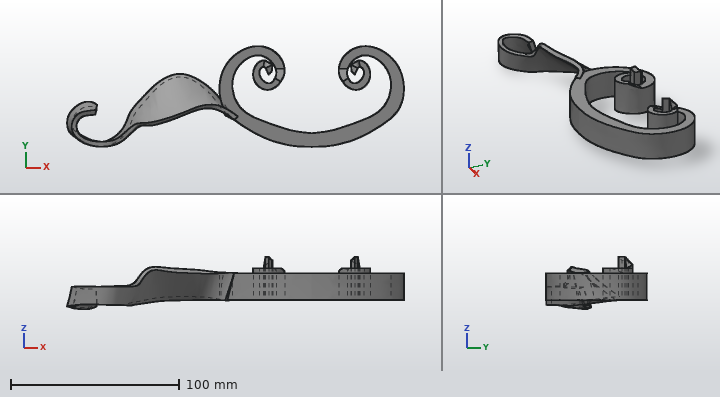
import cadquery as cq

frame_height = 16.0
coil_height = 19.0
hook_height = 25.9

frame_outer = [
    (0, 0), (24.7, 4.0), (41.0, 12.6), (51.7, 22.2), (55.0, 35.3), (49.7, 50.5),
    (29.9, 60.0), (19.6, 54.5), (16.0, 46.1), (18.5, 38.9),
]
frame_inner = [
    (0, 8.2), (13.5, 10.2), (25.7, 14.2), (42.7, 23.9), (47.1, 35.3), (42.7, 49.0),
    (29.9, 54.3), (22.7, 49.0), (21.0, 44.5), (21.8, 40.9),
]

coil_outer = [
    frame_outer[-1], (21.8, 35.3), (26.3, 33.9), (31.7, 36.0), (34.9, 42.5), (32.5, 49.5), (28.0, 51.7),
]
coil_inner = [frame_inner[-1], (26.0, 37.9), (31.0, 43.5), (28.7, 48.0)]

ramp_x = (14.0, 23.7)
ramp_start_y = 46.5
ramp_end_y = 38.9
ramp_level_run = 2.0

hook_sections = [
    ((28.0, 51.7, 20.8), (28.7, 48.0, coil_height)),
    ((23.3, 49.0, 23.7), (27.5, 47.0, hook_height)),
    ((23.7, 45.0, 23.7), (25.7, 43.0, hook_height)),
]

tail_thickness = 3.0
tail_sections = [
    ((-128.5, 20.6, 7.5), (-127.7, 23.7, -3.2)),
    ((-133.5, 20.0, 7.5), (-133.5, 25.7, -4.8)),
    ((-137.5, 18.8, 7.5), (-139.5, 22.9, -4.8)),
    ((-141.0, 14.2, 7.6), (-144.0, 15.8, -4.2)),
    ((-140.7, 9.6, 7.8), (-142.7, 9.6, -3.6)),
    ((-138.7, 6.5, 8.0), (-138.7, 6.5, -2.8)),
    ((-125.0, 1.6, 8.0), (-125.0, 1.6, -2.8)),
    ((-114.9, 3.8, 8.2), (-116.3, 5.0, -2.8)),
    ((-107.6, 9.8, 8.5), (-110.8, 10.8, -2.8)),
    ((-104.0, 12.6, 9.8), (-109.0, 14.5, -2.8)),
    ((-101.5, 13.5, 13.5), (-107.6, 18.2, -2.5)),
    ((-96.2, 13.6, 18.2), (-100.5, 27.9, -1.2)),
    ((-86.8, 15.8, 18.2), (-91.2, 37.3, 0.5)),
    ((-76.8, 19.5, 17.5), (-78.2, 42.7, 1.0)),
    ((-66.0, 23.5, 16.8), (-66.1, 38.0, 1.0)),
    ((-58.0, 23.9, 16.2), (-58.3, 31.3, 0.6)),
    ((-50.7, 21.0, 16.2), (-53.3, 24.9, 0.0)),
    ((-45.0, 17.0, 16.2), (-50.3, 19.8, -0.2)),
]


def strip(outer, inner, height):
    """Flat strip between two smooth curves, standing on Z = 0."""
    return (
        cq.Workplane("XY")
        .moveTo(*outer[0])
        .spline(outer[1:], includeCurrent=True)
        .lineTo(*inner[-1])
        .spline(inner[-2::-1], includeCurrent=True)
        .close()
        .extrude(height)
    )


def ramp():
    """Sloping length of the scroll, cut from a taller copy of its strip."""
    profile = [
        (ramp_start_y, 0),
        (ramp_start_y, frame_height),
        (ramp_end_y, coil_height),
        (ramp_end_y - ramp_level_run, coil_height),
        (ramp_end_y - ramp_level_run, 0),
    ]
    wedge = (
        cq.Workplane("YZ", origin=(ramp_x[0], 0, 0))
        .polyline(profile)
        .close()
        .extrude(ramp_x[1] - ramp_x[0])
    )
    return strip(frame_outer, frame_inner, coil_height).intersect(wedge)


def hook():
    """Flat-sided tip that closes the coil and rises above it."""
    sections = []
    for outer, inner in hook_sections:
        corners = [outer, inner, (inner[0], inner[1], 0), (outer[0], outer[1], 0)]
        vectors = [cq.Vector(*corner) for corner in corners]
        sections.append(cq.Wire.makePolygon(vectors, close=True))
    return cq.Workplane(cq.Solid.makeLoft(sections, ruled=True))


def frame_half():
    """Right half of the frame with its raised coil."""
    half = strip(frame_outer, frame_inner, frame_height)
    coil = strip(coil_outer, coil_inner, coil_height)
    return half.union(ramp()).union(coil).union(hook())


def tail():
    """Twisting ribbon whose thickness is set square to its run and its height."""
    tops = [cq.Vector(*top) for top, bottom in tail_sections]
    bottoms = [cq.Vector(*bottom) for top, bottom in tail_sections]
    middles = [(top + bottom) / 2 for top, bottom in zip(tops, bottoms)]
    last = len(middles) - 1
    sections = []
    for i, (top, bottom) in enumerate(zip(tops, bottoms)):
        run = middles[min(i + 1, last)] - middles[max(i - 1, 0)]
        side = run.cross(top - bottom).normalized() * (tail_thickness / 2)
        sections.append([top + side, top - side, bottom - side, bottom + side])
    edges = [cq.Edge.makeSpline(list(corner_path)) for corner_path in zip(*sections)]
    neighbours = edges[1:] + edges[:1]
    sides = [cq.Face.makeRuledSurface(edge, other) for edge, other in zip(edges, neighbours)]
    ends = []
    for corners in (sections[0], sections[-1]):
        ends.append(cq.Face.makeFromWires(cq.Wire.makePolygon(corners, close=True)))
    return cq.Workplane(cq.Solid.makeSolid(cq.Shell.makeShell(sides + ends)))


right_half = frame_half()
left_half = right_half.mirror("YZ")
result = right_half.union(left_half).union(tail())